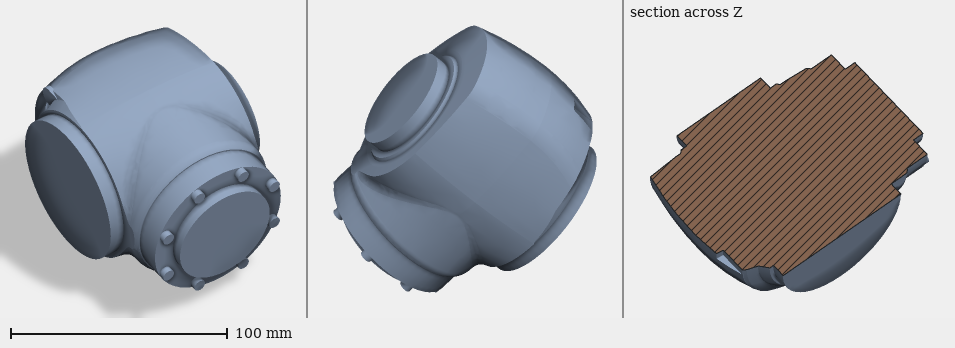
import cadquery as cq
import math


LEFT_REACH = 52.5
HALF_HEIGHT = 40.48
CROWN_MID = (-21, 37.5)
CROWN_END = (-38.3, 31.9)
CORNER_MID = (-42.2, 29.5)
CORNER_END = (-45.3, 25.6)

CROWN_BULGE_RADIUS = 242.3
BACK_BULGE_RADIUS = 168.9
FRONT_BULGE_RADIUS = 98.5
FRONT_CORNER_SHIFT = 1.35
FRONT_Y = -36.9
UNTRIMMED_Y = 38.5
BACK_Y = 37.5
SECTION_COUNT = 5

BACK_FLAT_RADIUS = 32.6
BACK_RIM_RADIUS = 60.6
BACK_RIM_DROP = 1.9

SEAT_RADIUS = 37.3
SEAT_FOOT_RADIUS = 40.8
SEAT_FOOT_Y = -32.7
LEDGE_RIM_RADIUS = 46.0
LEDGE_RIM_Y = -31.0
RIM_CHAMFER_RADIUS = 47.5
RIM_CHAMFER_Y = -30.0
CUT_CLEARANCE = 11.6

NECK_ROOT_RADIUS = 39.3
NECK_RADIUS = 37.6
NECK_STRAIGHT_X = 41.0
NECK_LIP_RADIUS = 36.2
NECK_LIP_MID = (43.3, 37.3)
NECK_LIP_X = 45.3
NECK_END_X = 45.9
NECK_END_RADIUS = 35.8
FLANGE_RADIUS = 35.1
FLANGE_X = 58.2
END_BOSS_DIAMETER = 50.0
END_BOSS_RADIUS = END_BOSS_DIAMETER / 2
END_X = 116.5 - LEFT_REACH

BLEND_RADIUS = 5.8
BLEND_MIN_X = 9.3
BLEND_MAX_X = NECK_STRAIGHT_X - 1.2

BOLT_COUNT = 8
BOLT_CIRCLE_RADIUS = 31.9
BOLT_RADIUS = 2.9
BOLT_HEIGHT = 3.1

DISC_RADIUS = 35.2
DISC_Y = -44.0
BACK_BOSS_RADIUS = END_BOSS_RADIUS
BACK_BOSS_Y = DISC_Y + 90.0
COLLAR_RADIUS = 29.7
COLLAR_TOP_RADIUS = 28.5
COLLAR_Y = 38.9

SLOT_FLOOR_X = -47.8
SLOT_BACK_Y = -16.0
SLOT_HALF_WIDTH = 4.1
SLOT_DRAFT = 10

TEAR_HEIGHT = 2.3
TEAR_CENTER = (-32.4, 27.3)
TEAR_RADIUS = 4.8
TEAR_TIP = (-24.2, 32.0)
TEAR_NECK_MID = (-27.1, 29.8)
TEAR_FACE_Y = -32.9


def sag(radius, offset):
    """Drop of a circular arc at the given distance from its crest."""
    return radius - math.sqrt(radius**2 - offset**2)


def barrel_section(y):
    """Closed barrel outline at one y, drawn in from the middle section by the two bulges."""
    height = HALF_HEIGHT - sag(CROWN_BULGE_RADIUS, y)
    crown_scale = height / HALF_HEIGHT
    if y > 0:
        side_shift = sag(BACK_BULGE_RADIUS, y)
        corner_shift = side_shift
        corner_scale = crown_scale
    else:
        side_shift = sag(FRONT_BULGE_RADIUS, y)
        corner_shift = FRONT_CORNER_SHIFT * side_shift
        corner_scale = 1

    def mirrored_pair(point, shift, z_scale):
        x = point[0] + shift
        z = point[1] * z_scale
        return cq.Vector(x, y, z), cq.Vector(x, y, -z)

    top, bottom = mirrored_pair((0, HALF_HEIGHT), 0, crown_scale)
    crown_mids = mirrored_pair(CROWN_MID, corner_shift / 2, (crown_scale + corner_scale) / 2)
    crown_ends = mirrored_pair(CROWN_END, corner_shift, corner_scale)
    corner_mids = mirrored_pair(CORNER_MID, corner_shift, corner_scale)
    corner_ends = mirrored_pair(CORNER_END, corner_shift, corner_scale)
    arcs = [
        (bottom, cq.Vector(height, y, 0), top),
        (top, crown_mids[0], crown_ends[0]),
        (crown_ends[0], corner_mids[0], corner_ends[0]),
        (corner_ends[0], cq.Vector(side_shift - LEFT_REACH, y, 0), corner_ends[1]),
        (corner_ends[1], corner_mids[1], crown_ends[1]),
        (crown_ends[1], crown_mids[1], bottom),
    ]
    edges = [cq.Edge.makeThreePointArc(*arc) for arc in arcs]
    return cq.Wire.assembleEdges(edges)


def barrel_half(end_y):
    """Barrel from the middle section to one end."""
    stations = [end_y * i / (SECTION_COUNT - 1) for i in range(SECTION_COUNT)]
    return cq.Workplane(cq.Solid.makeLoft([barrel_section(y) for y in stations]))


def around_y(points):
    """Solid of revolution about the Y axis from (radius, y) points."""
    return cq.Workplane("XY").polyline(points).close().revolve(360, (0, 0), (0, 1))


def disc_y(radius, start_y, end_y):
    """Cylinder along the Y axis between two y positions."""
    return around_y([(0, start_y), (radius, start_y), (radius, end_y), (0, end_y)])


def disc_x(radius, start_x, end_x):
    """Cylinder along the X axis between two x positions."""
    return cq.Workplane("YZ", origin=(start_x, 0, 0)).circle(radius).extrude(end_x - start_x)


def neck():
    """Tapered neck with a rounded lip, turned about the X axis."""
    return (
        cq.Workplane("XY")
        .lineTo(0, NECK_ROOT_RADIUS)
        .lineTo(NECK_STRAIGHT_X, NECK_RADIUS)
        .threePointArc(NECK_LIP_MID, (NECK_LIP_X, NECK_LIP_RADIUS))
        .lineTo(NECK_END_X, NECK_END_RADIUS)
        .lineTo(NECK_END_X, 0)
        .close()
        .revolve(360, (0, 0), (1, 0))
    )


def blended_shell():
    """Barrel joined to the neck, with the meeting curve rounded."""
    shell = barrel_half(-UNTRIMMED_Y).union(barrel_half(UNTRIMMED_Y)).union(neck())
    blend_edges = [
        edge for edge in shell.edges().vals()
        if BLEND_MIN_X < edge.Center().x < BLEND_MAX_X and abs(edge.Center().y) < abs(FRONT_Y)
    ]
    return cq.Workplane(shell.val().fillet(BLEND_RADIUS, blend_edges))


def housing():
    """Barrel and neck with trimmed end faces and the stepped front ledge."""
    cover = around_y([
        (0, FRONT_Y),
        (BACK_RIM_RADIUS, FRONT_Y),
        (BACK_RIM_RADIUS, BACK_Y - BACK_RIM_DROP),
        (BACK_FLAT_RADIUS, BACK_Y),
        (0, BACK_Y),
    ])
    outside = LEFT_REACH + CUT_CLEARANCE
    ledge = around_y([
        (SEAT_RADIUS, FRONT_Y),
        (SEAT_FOOT_RADIUS, SEAT_FOOT_Y),
        (LEDGE_RIM_RADIUS, LEDGE_RIM_Y),
        (RIM_CHAMFER_RADIUS, RIM_CHAMFER_Y),
        (outside, RIM_CHAMFER_Y),
        (outside, FRONT_Y - CUT_CLEARANCE),
        (SEAT_RADIUS, FRONT_Y - CUT_CLEARANCE),
    ])
    left_half = cq.Workplane("XY").box(outside, 4 * outside, 4 * outside).translate((-outside / 2, 0, 0))
    return blended_shell().intersect(cover).cut(ledge.intersect(left_half))


def bolts():
    """Ring of bolt heads standing on the flange."""
    return (
        cq.Workplane("YZ", origin=(FLANGE_X, 0, 0))
        .polarArray(BOLT_CIRCLE_RADIUS, 180 / BOLT_COUNT, 360, BOLT_COUNT)
        .circle(BOLT_RADIUS)
        .extrude(BOLT_HEIGHT)
    )


def slot():
    """Drafted slot cutter, open towards -X and the front."""
    slot_length = SLOT_BACK_Y - FRONT_Y
    return (
        cq.Workplane("YZ", origin=(SLOT_FLOOR_X, 0, 0))
        .center(SLOT_BACK_Y - slot_length / 2, 0)
        .rect(slot_length, 2 * SLOT_HALF_WIDTH)
        .extrude(-CUT_CLEARANCE, taper=-SLOT_DRAFT)
    )


def teardrop(depth):
    """Teardrop prism from the landing face, towards the front for positive depth."""
    x, z = TEAR_CENTER
    return (
        cq.Workplane("XZ", origin=(0, TEAR_FACE_Y, 0))
        .moveTo(x, z + TEAR_RADIUS)
        .lineTo(*TEAR_TIP)
        .threePointArc(TEAR_NECK_MID, (x + TEAR_RADIUS, z))
        .threePointArc((x, z - TEAR_RADIUS), (x - TEAR_RADIUS, z))
        .radiusArc((x, z + TEAR_RADIUS), TEAR_RADIUS)
        .close()
        .extrude(depth)
    )


collar = around_y([
    (0, 0),
    (COLLAR_RADIUS, 0),
    (COLLAR_RADIUS, BACK_Y),
    (COLLAR_TOP_RADIUS, COLLAR_Y),
    (0, COLLAR_Y),
])

result = (
    housing()
    .cut(slot())
    .union(teardrop(-TEAR_HEIGHT))
    .cut(teardrop(CUT_CLEARANCE))
    .union(collar)
    .union(disc_y(DISC_RADIUS, DISC_Y, 0))
    .union(disc_y(BACK_BOSS_RADIUS, 0, BACK_BOSS_Y))
    .union(disc_x(FLANGE_RADIUS, 0, FLANGE_X))
    .union(disc_x(END_BOSS_RADIUS, 0, END_X))
    .union(bolts())
)